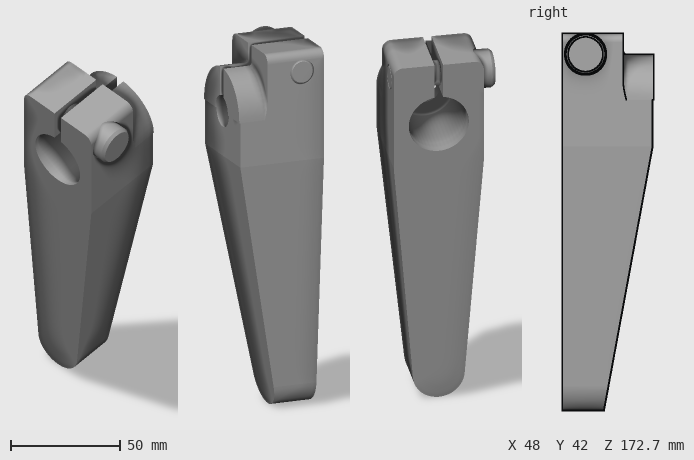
import cadquery as cq
import math

height = 172.7
width = 42.0
overall_width = 48.0
half_width = width / 2
body_depth = 41.5
tip_radius = 12.1
taper_top = 120.9
tip_depth = 19.2
corner_radius = 4.1

bore_z = 142.1
bore_radius = 14.0
bore_depth = 35.2
through_radius = 7.5
clamp_depth = 28.0
boss_radius = half_width
boss_depth = 42.0
floor_blend = 1.0
root_blend = 1.4
slot_width = 4.0

screw_y = 10.7
screw_z = 163.0
shank_radius = 5.9
shank_chamfer = 0.9
head_radius = 9.0
spotface_radius = 9.5
head_start = 15.2
head_end = overall_width - half_width
head_chamfer_length = 1.5
head_chamfer_width = 1.0


def box(x_min, x_max, y_min, y_max, z_min, z_max):
    size = (x_max - x_min, y_max - y_min, z_max - z_min)
    return cq.Workplane("XY").box(*size, centered=False).translate((x_min, y_min, z_min))


def cylinder_y(radius, y_min, y_max):
    """Cylinder on the bore axis."""
    return cq.Workplane("XZ", origin=(0, y_min, bore_z)).circle(radius).extrude(y_min - y_max)


def cylinder_x(radius, x_min, x_max):
    """Cylinder on the screw axis."""
    return cq.Workplane("YZ", origin=(x_min, screw_y, screw_z)).circle(radius).extrude(x_max - x_min)


def lever_body():
    rise = taper_top - tip_radius
    distance = math.hypot(half_width, rise)
    angle = math.atan2(rise, half_width) - math.acos(tip_radius / distance)
    tangent_x = tip_radius * math.cos(angle)
    tangent_z = tip_radius + tip_radius * math.sin(angle)
    plate = (
        cq.Workplane("XZ")
        .moveTo(-half_width, height)
        .lineTo(half_width, height)
        .lineTo(half_width, taper_top)
        .lineTo(tangent_x, tangent_z)
        .threePointArc((0, 0), (-tangent_x, tangent_z))
        .lineTo(-half_width, taper_top)
        .close()
        .extrude(-body_depth)
        .edges("|Y and >Z")
        .fillet(corner_radius)
    )
    side_profile = (
        cq.Workplane("YZ", origin=(-half_width, 0, 0))
        .polyline([
            (0, 0),
            (tip_depth, 0),
            (body_depth, taper_top),
            (body_depth, bore_z),
            (clamp_depth, bore_z),
            (clamp_depth, height),
            (0, height),
        ])
        .close()
        .extrude(width)
    )
    return plate.intersect(side_profile)


def half_boss():
    """Upper half of a round boss, flared at its root and trimmed to the body width."""
    diagonal = root_blend * math.sqrt(0.5)
    centre_radius = boss_radius + root_blend
    centre_y = clamp_depth + root_blend
    boss = (
        cq.Workplane("XY", origin=(0, 0, bore_z))
        .moveTo(0, clamp_depth)
        .lineTo(centre_radius, clamp_depth)
        .threePointArc((centre_radius - diagonal, centre_y - diagonal), (boss_radius, centre_y))
        .lineTo(boss_radius, boss_depth)
        .lineTo(0, boss_depth)
        .close()
        .revolve(360, (0, 0, 0), (0, 1, 0))
    )
    return boss.intersect(box(-half_width, half_width, clamp_depth, boss_depth, bore_z, height))


def stepped_bore():
    bore = cylinder_y(bore_radius, 0, bore_depth).faces(">Y").edges().fillet(floor_blend)
    return bore.union(cylinder_y(through_radius, 0, boss_depth))


def clamping_screw():
    shank = cylinder_x(shank_radius, -half_width, head_start).faces("<X").chamfer(shank_chamfer)
    head = (
        cylinder_x(head_radius, head_start, head_end)
        .faces(">X")
        .edges()
        .chamfer(head_chamfer_length, head_chamfer_width)
    )
    return shank.union(head)


slot = box(-slot_width / 2, slot_width / 2, 0, boss_depth, bore_z, height)
screw_hole = cylinder_x(shank_radius, -half_width, head_start)
spotface = cylinder_x(spotface_radius, head_start, head_end)

result = (
    lever_body()
    .union(half_boss())
    .cut(stepped_bore())
    .cut(slot)
    .cut(screw_hole)
    .cut(spotface)
    .union(clamping_screw())
)